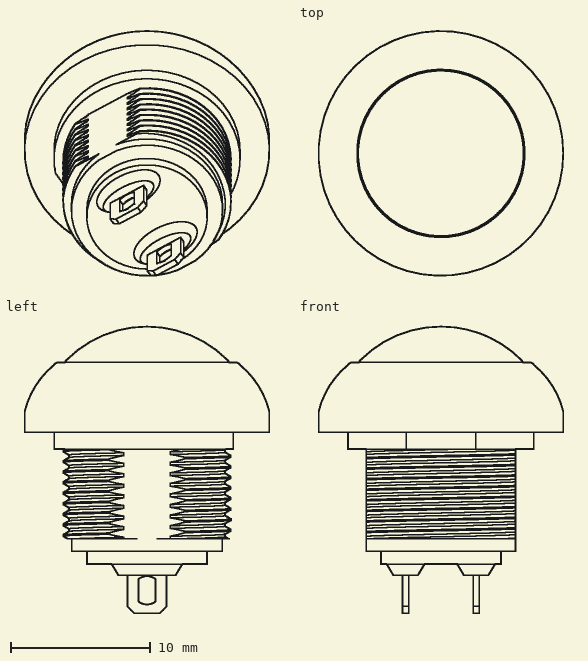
import cadquery as cq
import math

tab_chamfer = 0.5
boss_bottom = 2.7
base_bottom = 3.5
neck_bottom = 4.43
thread_bottom = 5.3
collar_bottom = 11.72
rim_bottom = 12.93
rim_top = 14.42
cap_edge_height = 17.75
housing_top = 17.93
overall_height = 20.5

rim_diameter = 17.5
cap_edge_diameter = 13.3
cap_radius = 6.23
lip_diameter = 12.62
pocket_diameter = 12.0
collar_diameter = 13.3
neck_diameter = 10.8
base_diameter = 8.6

collar_flat_distance = 6.17
body_flat_width = 10.7

thread_diameter = 12.0
thread_turns = 8.5
thread_length = collar_bottom - thread_bottom
thread_pitch = thread_length / thread_turns
thread_flank = math.radians(30)
thread_depth = 5 / 8 * thread_pitch * math.cos(thread_flank)
thread_root_radius = thread_diameter / 2 - thread_depth
thread_embed = 0.06
crest_flat = thread_pitch / 8
root_flat = thread_pitch / 4
thread_lift = thread_pitch / 12

terminal_offset = 2.52
tab_thickness = 0.45
tab_width = 2.8
eye_diameter = 2.0
eye_width = 1.2
eye_height = 1.64
boss_top_x_radius = 1.35
boss_top_y_radius = 2.52
boss_taper = 0.47

button_diameter = 11.8
button_fillet = 0.5
button_edge_diameter = 11.47
button_edge_height = 18.11
pocket_floor = rim_top


def disc(diameter, bottom, top):
    """Plain cylinder on the Z axis."""
    return cq.Workplane("XY").workplane(offset=bottom).circle(diameter / 2).extrude(top - bottom)


def arc_middle(start, end, radius):
    """Middle point of an arc that bulges to the right of the line from start to end."""
    dx = end[0] - start[0]
    dz = end[1] - start[1]
    chord = math.hypot(dx, dz)
    bulge = radius - math.sqrt(radius ** 2 - (chord / 2) ** 2)
    middle_x = (start[0] + end[0]) / 2 + bulge * dz / chord
    middle_z = (start[1] + end[1]) / 2 - bulge * dx / chord
    return (middle_x, middle_z)


def make_cap():
    """Rim, domed cap and rounded lip, with the pocket for the button."""
    rim_edge = (rim_diameter / 2, rim_top)
    cap_edge = (cap_edge_diameter / 2, cap_edge_height)
    lip_edge = (lip_diameter / 2, housing_top)
    lip_width = cap_edge[0] - lip_edge[0]
    lip_drop = lip_edge[1] - cap_edge[1]
    lip_radius = (lip_width ** 2 + lip_drop ** 2) / (2 * lip_drop)
    cap = (
        cq.Workplane("XZ")
        .moveTo(0, rim_bottom)
        .lineTo(rim_diameter / 2, rim_bottom)
        .lineTo(*rim_edge)
        .threePointArc(arc_middle(rim_edge, cap_edge, cap_radius), cap_edge)
        .threePointArc(arc_middle(cap_edge, lip_edge, lip_radius), lip_edge)
        .lineTo(0, housing_top)
        .close()
        .revolve(360, (0, 0), (0, 1))
    )
    return cap.cut(disc(pocket_diameter, pocket_floor, housing_top))


def make_collar():
    """Collar under the rim with one flat on its -Y side."""
    collar = disc(collar_diameter, collar_bottom, rim_bottom)
    keep = cq.Workplane("XY").box(
        collar_diameter, collar_diameter, overall_height, centered=(True, False, False)
    )
    return collar.intersect(keep.translate((0, -collar_flat_distance, 0)))


def make_thread_ridge():
    """Helical ridge, run one pitch past both ends of the threaded length."""
    crest_radius = thread_diameter / 2
    foot_radius = thread_root_radius - thread_embed
    half_crest = crest_flat / 2
    half_foot = (thread_pitch - root_flat) / 2 + thread_embed * math.tan(thread_flank)
    start = thread_bottom + thread_lift - thread_pitch
    helix = cq.Wire.makeHelix(
        thread_pitch,
        thread_length + 2 * thread_pitch,
        thread_root_radius,
        center=cq.Vector(0, 0, start),
    )
    return (
        cq.Workplane("XZ")
        .polyline([
            (foot_radius, start - half_foot),
            (crest_radius, start - half_crest),
            (crest_radius, start + half_crest),
            (foot_radius, start + half_foot),
        ])
        .close()
        .sweep(cq.Workplane(obj=helix), isFrenet=True)
    )


def body_flats(bottom, top):
    """Block that keeps what lies between the X flats and the two heights."""
    block = cq.Workplane("XY", origin=(0, 0, bottom))
    return block.box(body_flat_width, rim_diameter, top - bottom, centered=(True, True, False))


def make_threaded_body():
    """Threaded barrel and plain neck, cut by the flats on both X sides."""
    overrun = 2 * thread_pitch
    core = disc(2 * thread_root_radius, thread_bottom - overrun, collar_bottom + overrun)
    barrel = core.union(make_thread_ridge()).intersect(body_flats(thread_bottom, collar_bottom))
    neck = disc(neck_diameter, neck_bottom, thread_bottom)
    return barrel.union(neck.intersect(body_flats(neck_bottom, thread_bottom)))


def make_terminal(x):
    """Tapered elliptical boss and the tab with its eye."""
    boss = (
        cq.Workplane("XY", origin=(x, 0, base_bottom))
        .ellipse(boss_top_x_radius, boss_top_y_radius)
        .workplane(offset=boss_bottom - base_bottom)
        .ellipse(boss_top_x_radius - boss_taper, boss_top_y_radius - boss_taper)
        .loft()
    )
    tab = (
        cq.Workplane("XY", origin=(x, 0, 0))
        .box(tab_thickness, tab_width, boss_bottom, centered=(True, True, False))
        .edges("|X and <Z")
        .chamfer(tab_chamfer)
    )
    eye_round = (
        cq.Workplane("YZ", origin=(x, 0, eye_height))
        .circle(eye_diameter / 2)
        .extrude(tab_thickness, both=True)
    )
    eye_strip = cq.Workplane("XY", origin=(x, 0, eye_height)).box(
        2 * tab_thickness, eye_width, eye_diameter
    )
    return boss.union(tab.cut(eye_round.intersect(eye_strip)))


def make_housing():
    body = make_threaded_body().union(make_collar()).union(make_cap())
    body = body.union(disc(base_diameter, base_bottom, neck_bottom))
    for side in (-1, 1):
        body = body.union(make_terminal(side * terminal_offset))
    return body


def make_button():
    """Domed button that stands in the pocket with a narrow gap around it."""
    dome_edge = (button_edge_diameter / 2, button_edge_height)
    dome_rise = overall_height - button_edge_height
    dome_radius = (dome_edge[0] ** 2 + dome_rise ** 2) / (2 * dome_rise)
    dome_slope = math.asin(dome_edge[0] / dome_radius)
    side_edge = (button_diameter / 2, button_edge_height - button_fillet * math.cos(dome_slope))
    dome_top = (0, overall_height)
    return (
        cq.Workplane("XZ")
        .moveTo(0, pocket_floor)
        .lineTo(button_diameter / 2, pocket_floor)
        .lineTo(*side_edge)
        .threePointArc(arc_middle(side_edge, dome_edge, button_fillet), dome_edge)
        .threePointArc(arc_middle(dome_edge, dome_top, dome_radius), dome_top)
        .close()
        .revolve(360, (0, 0), (0, 1))
    )


housing = make_housing()
button = make_button()

result = cq.Compound.makeCompound([housing.solids().val(), button.val()])